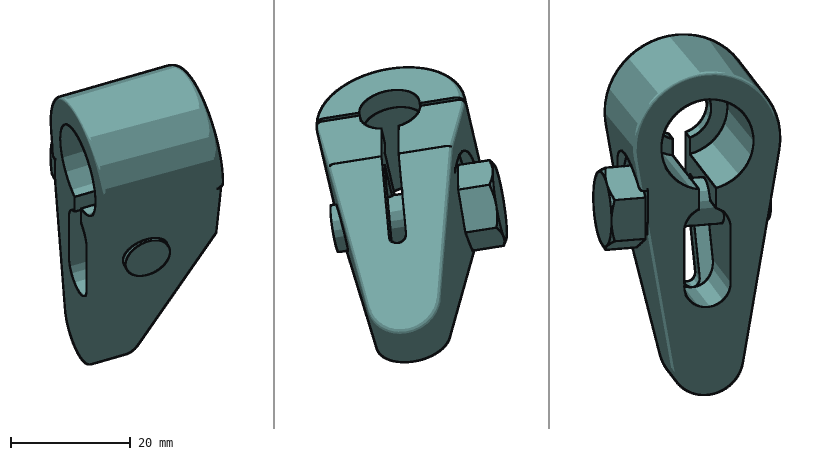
import cadquery as cq
import math


head_radius = 12.7
tail_radius = 6.35
total_height = 57.15
tail_z = head_radius + tail_radius - total_height

total_depth = 21.6
body_depth = 21.0
front_fillet = 0.5
back_fillet = 0.95
cap_fillet = total_depth - body_depth + back_fillet

slope_start_z = -13.1
slope_angle = math.radians(24.8)

bore_radius = 5.15
counterbore_radius = 7.95
back_wall = 2.95
pocket_width = 8.0
pocket_top_z = -15.1
pocket_bottom_z = -24.75
slit_width = 2.9

bolt_y = 7.8
bolt_z = -12.7
shank_radius = 4.0
shank_end_x = 11.95
hex_flats = 12.6
hex_height = 5.9
seat_x = -10.3
seat_radius = 9.5
chamfer_angle = math.radians(30)


def lever_outline():
    """Two circles joined by their common tangents."""
    sine = (head_radius - tail_radius) / -tail_z
    cosine = math.sqrt(1 - sine**2)
    head_x, head_z = head_radius * cosine, -head_radius * sine
    tail_x, tail_tangent_z = tail_radius * cosine, tail_z - tail_radius * sine
    return (
        cq.Workplane("XZ")
        .moveTo(-head_x, head_z)
        .threePointArc((0, head_radius), (head_x, head_z))
        .lineTo(tail_x, tail_tangent_z)
        .threePointArc((0, tail_z - tail_radius), (-tail_x, tail_tangent_z))
        .close()
    )


def depth_limit(offset):
    """Block from the front face to the back face, with the back moved in by offset."""
    half_width = 2 * head_radius
    back_y = body_depth - offset
    bend_z = slope_start_z + offset * math.tan(slope_angle / 2)
    top_z = 2 * head_radius
    tip_z = bend_z - back_y / math.tan(slope_angle)
    points = [(0, top_z), (back_y, top_z), (back_y, bend_z), (0, tip_z)]
    return cq.Workplane("YZ").polyline(points).close().extrude(half_width, both=True)


def along_y(radius, depth):
    return cq.Workplane("XZ").circle(radius).extrude(-depth)


def long_slot(width, top_center_z, bottom_center_z):
    """Round-ended upright slot through the whole depth."""
    middle_z = (top_center_z + bottom_center_z) / 2
    length = top_center_z - bottom_center_z + width
    return cq.Workplane("XZ").center(0, middle_z).slot2D(length, width, 90).extrude(-total_depth)


def make_body():
    body = lever_outline().extrude(-total_depth).intersect(depth_limit(0))
    body = body.faces("<Y").edges().fillet(front_fillet)
    slope_normal = cq.Vector(0, math.cos(slope_angle), -math.sin(slope_angle))
    back_rim = body.faces(cq.selectors.DirectionMinMaxSelector(slope_normal)).edges("not |X")
    back_rim = back_rim.add(body.faces(">Y").edges("not |X"))
    return body.newObject(back_rim.vals()).fillet(back_fillet)


def make_cap():
    """Raised upper half of the back of the hub."""
    cap = along_y(head_radius, total_depth).faces(">Y").edges().fillet(cap_fillet)
    size = 2 * head_radius
    keep = cq.Workplane("XY").box(size, cap_fillet, head_radius, centered=(True, False, False))
    return cap.intersect(keep.translate((0, body_depth - back_fillet, 0)))


def make_cavity():
    pocket = along_y(counterbore_radius, total_depth)
    pocket = pocket.union(long_slot(pocket_width, pocket_top_z, pocket_bottom_z))
    pocket = pocket.intersect(depth_limit(back_wall))
    slit_bottom_z = pocket_bottom_z - pocket_width / 2 + slit_width / 2
    slit = long_slot(slit_width, 0, slit_bottom_z)
    return pocket.union(along_y(bore_radius, total_depth)).union(slit)


def bolt_plane(x):
    return cq.Workplane("YZ", origin=(x, bolt_y, bolt_z))


def make_seat():
    """Flat circular recess under the bolt head."""
    return bolt_plane(seat_x).circle(seat_radius).extrude(-head_radius)


def make_bolt():
    corner_radius = hex_flats / math.sqrt(3)
    hexagon = bolt_plane(seat_x).transformed(rotate=(0, 0, 90)).polygon(6, 2 * corner_radius)
    head = hexagon.extrude(-hex_height)
    chamfer_height = (corner_radius - hex_flats / 2) * math.tan(chamfer_angle)
    envelope = (
        bolt_plane(seat_x)
        .circle(corner_radius)
        .extrude(-hex_height)
        .faces("<X")
        .chamfer(chamfer_height, corner_radius - hex_flats / 2)
    )
    shank = bolt_plane(seat_x).circle(shank_radius).extrude(shank_end_x - seat_x)
    return head.intersect(envelope).union(shank)


result = make_body().union(make_cap()).cut(make_cavity()).cut(make_seat()).union(make_bolt())